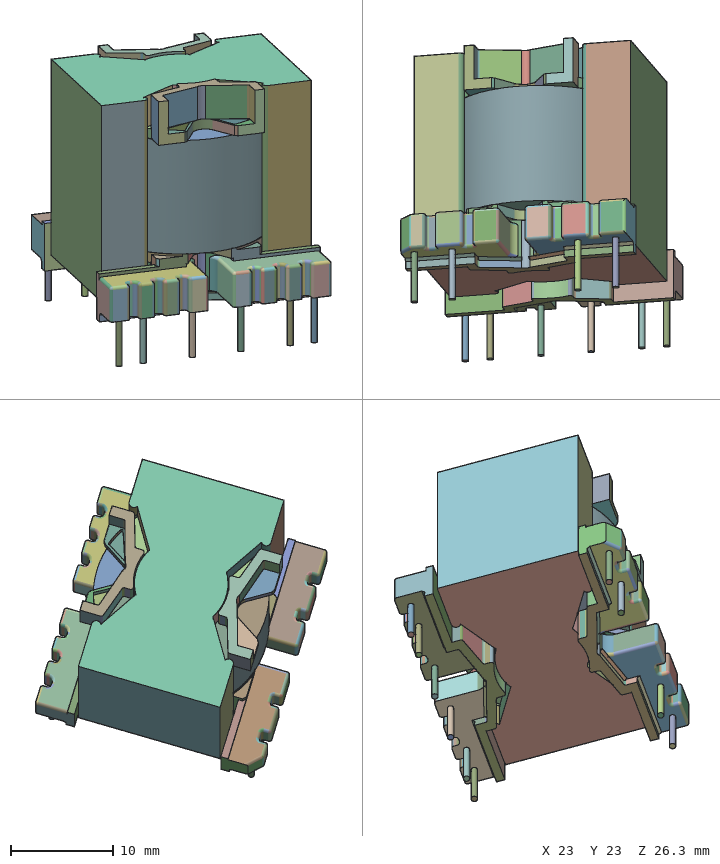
import cadquery as cq
import math

OVERALL_TOP = 26.3
PIN_TIP = 0.0
FOOT_BOTTOM = 4.05
BLOCK_BOTTOM = 5.05
BLOCK_TOP = 8.65
CORE_BOTTOM = 5.7
CORE_TOP = 26.06
RAIL_TOP = 9.0
PAD_TOP = 9.78
FLANGE_THICKNESS = 1.05
WINDOW_BOTTOM = 8.95
WINDOW_TOP = CORE_BOTTOM + CORE_TOP - WINDOW_BOTTOM
WINDING_BOTTOM = WINDOW_BOTTOM + FLANGE_THICKNESS
WINDING_TOP = WINDOW_TOP - FLANGE_THICKNESS

CORE_HALF_X = 7.23
CORE_HALF_Y = 10.91
POST_RADIUS = 4.58
WAIST_Y = 2.35
WAIST_X = math.sqrt(POST_RADIUS**2 - WAIST_Y**2)
NOSE_START_Y = 6.42
NOSE_TIP = (6.9, 6.0)
NOSE_END = (6.35, 6.2)
WINDOW_RADIUS = math.hypot(*NOSE_END)

WINDING_RADIUS = 17.2 / 2
FLANGE_RADIUS = 8.68
BORE_RADIUS = 4.68
CLIP_X = 8.7
CLIP_HALF_Y = 5.5
POCKET_HALF_Y = 4.5
CLIP_SHOULDER_X = 6.42
CLIP_NECK = (5.3, 2.08)
POCKET_CORNER_X = 7.07
NOTCH_APEX_X = 5.68
NOTCH_TANGENT = (6.2, 1.03)
POCKET_TANGENT = (5.85, 0.42)
POCKET_ROUND = 0.2
CLIP_ROUND = 0.25
NOTCH_MOUTH = (8.52, 2.47)
NOTCH_LIP_Y = 2.75
OPENING_INNER = (6.15, 1.35)
OPENING_TOP = (7.23, 4.35)
OPENING_MOUTH_Y = 2.87

BASE_HALF = 23.0 / 2
BASE_GAP_HALF = 1.3
RAIL_INNER_X = 7.47
RAIL_OUTER_X = 8.2
FOOT_OUTER_X = 8.35
FOOT_BEVEL = 0.3
PAD_INNER_Y = 2.45
PAD_OUTER_Y = 5.2
PAD_CUT_X = 7.9
CORNER_CUT = 1.24
TRIM_LENGTH = 0.8
EDGE_ROUND = 0.3

SLOT_WIDTH = 0.97
SLOT_DEPTH = 0.97
LEFT_SLOT_ROUND = 0.18
RIGHT_SLOT_ROUND = 0.37
PIN_X = 10.18
PIN_DIAMETER = 0.63
PIN_COVER = 3.15
LEFT_SLOTS = (4.47, 8.25)
RIGHT_SLOTS = (3.75, 6.36, 8.97)
LEFT_PINS = (6.35, 10.15)
RIGHT_PINS = (2.52, 7.65, 10.15)


def prism(outline, bottom, top):
    """Closed polygon in plan, raised from one level to another."""
    return cq.Workplane("XY").workplane(offset=bottom).polyline(outline).close().extrude(top - bottom)


def disc(radius, bottom, top):
    return cq.Workplane("XY").workplane(offset=bottom).circle(radius).extrude(top - bottom)


def half_turn(shape):
    return shape.rotate((0, 0, 0), (0, 0, 1), 180)


def mirrored_in_y(shape):
    return shape.mirror("XZ")


def core_side(sketch, sign):
    """Outline of one waisted side, from one outer corner to the opposite one."""
    def at(x, y):
        return (sign * x, sign * y)

    return (
        sketch.lineTo(*at(CORE_HALF_X, NOSE_START_Y))
        .threePointArc(at(*NOSE_TIP), at(*NOSE_END))
        .lineTo(*at(WAIST_X, WAIST_Y))
        .threePointArc(at(POST_RADIUS, 0), at(WAIST_X, -WAIST_Y))
        .lineTo(*at(NOSE_END[0], -NOSE_END[1]))
        .threePointArc(at(NOSE_TIP[0], -NOSE_TIP[1]), at(CORE_HALF_X, -NOSE_START_Y))
        .lineTo(*at(CORE_HALF_X, -CORE_HALF_Y))
    )


def make_core():
    outline = cq.Workplane("XY").workplane(offset=CORE_BOTTOM).moveTo(CORE_HALF_X, CORE_HALF_Y)
    outline = core_side(outline, 1)
    outline = outline.lineTo(-CORE_HALF_X, -CORE_HALF_Y)
    outline = core_side(outline, -1)
    body = outline.close().extrude(CORE_TOP - CORE_BOTTOM)
    window = disc(WINDOW_RADIUS, WINDOW_BOTTOM, WINDOW_TOP)
    post = disc(POST_RADIUS, WINDOW_BOTTOM, WINDOW_TOP)
    return body.cut(window.cut(post))


def notch(bottom, top):
    """Rounded V opening between the two halves of a flange."""
    x, y = NOTCH_TANGENT
    return (
        cq.Workplane("XY").workplane(offset=bottom)
        .moveTo(x, -y)
        .threePointArc((NOTCH_APEX_X, 0), (x, y))
        .lineTo(*NOTCH_MOUTH)
        .lineTo(CLIP_X, NOTCH_LIP_Y)
        .lineTo(CLIP_X, -NOTCH_LIP_Y)
        .lineTo(NOTCH_MOUTH[0], -NOTCH_MOUTH[1])
        .close().extrude(top - bottom)
    )


def pocket(bottom, top):
    """Space enclosed by the bent clip wall and its two arms."""
    x, y = POCKET_TANGENT
    space = (
        cq.Workplane("XY").workplane(offset=bottom)
        .moveTo(x, -y)
        .threePointArc((NOTCH_APEX_X, 0), (x, y))
        .lineTo(POCKET_CORNER_X, POCKET_HALF_Y)
        .lineTo(CLIP_X, POCKET_HALF_Y)
        .lineTo(CLIP_X, -POCKET_HALF_Y)
        .lineTo(POCKET_CORNER_X, -POCKET_HALF_Y)
        .close().extrude(top - bottom)
    )
    inner_corners = cq.selectors.BoxSelector(
        (POCKET_CORNER_X - 0.25, -OVERALL_TOP, 0), (POCKET_CORNER_X + 0.25, OVERALL_TOP, OVERALL_TOP)
    )
    return space.edges("|Z").edges(inner_corners).fillet(POCKET_ROUND)


def clip_block(outer_x, bottom, top):
    """Solid plan of a clip, reaching from the bore to outer_x, with rounded bends."""
    neck_x, neck_y = CLIP_NECK
    outline = [
        (0, neck_y), (neck_x, neck_y), (CLIP_SHOULDER_X, CLIP_HALF_Y), (outer_x, CLIP_HALF_Y),
        (outer_x, -CLIP_HALF_Y), (CLIP_SHOULDER_X, -CLIP_HALF_Y), (neck_x, -neck_y), (0, -neck_y),
    ]
    block = prism(outline, bottom, top).cut(disc(BORE_RADIUS, bottom, top))
    return block.edges("|Z").edges("not >X").fillet(CLIP_ROUND)


def make_clip():
    clip = clip_block(CLIP_X, WINDING_TOP, OVERALL_TOP)
    return clip.cut(pocket(WINDOW_TOP, OVERALL_TOP))


def floor_openings():
    """Triangular openings through the clip floor, bounded by the winding's outer radius."""
    outline = [
        OPENING_INNER, OPENING_TOP, (CLIP_X, OPENING_TOP[1]), (CLIP_X, OPENING_MOUTH_Y),
    ]
    wedge = prism(outline, WINDING_TOP, WINDOW_TOP)
    wedge = wedge.intersect(disc(WINDING_RADIUS, WINDING_TOP, WINDOW_TOP))
    return wedge.union(mirrored_in_y(wedge))


def make_block(slots, slot_round, corner_cut, round_outer_end):
    """Terminal block on the +Y half, with rounded edges and wire slots in its outer face.

    A block with a plain outer end is rounded over a longer length and then trimmed.
    """
    spare = 0 if round_outer_end else TRIM_LENGTH
    end_y = BASE_HALF + spare
    gap_round_x = NOTCH_APEX_X + BASE_GAP_HALF
    gap_round_middle = BASE_GAP_HALF * math.sqrt(0.5)
    block = (
        cq.Workplane("XY").workplane(offset=BLOCK_BOTTOM)
        .moveTo(CLIP_NECK[0], 0)
        .lineTo(NOTCH_APEX_X, 0)
        .threePointArc(
            (gap_round_x - gap_round_middle, gap_round_middle), (gap_round_x, BASE_GAP_HALF)
        )
        .lineTo(BASE_HALF, BASE_GAP_HALF)
        .lineTo(BASE_HALF, end_y)
        .lineTo(RAIL_INNER_X, end_y)
        .lineTo(RAIL_INNER_X, CLIP_HALF_Y)
        .lineTo(POCKET_CORNER_X, CLIP_HALF_Y)
        .lineTo(POCKET_CORNER_X, POCKET_HALF_Y)
        .close().extrude(BLOCK_TOP - BLOCK_BOTTOM)
    )
    if corner_cut:
        block = block.edges("|Z").edges(">X").edges(">Y").chamfer(CORNER_CUT + spare)
    for y in slots:
        slot = (
            cq.Workplane("XY").box(2 * SLOT_DEPTH, SLOT_WIDTH, 2 * BLOCK_TOP)
            .edges("|Z and <X").fillet(slot_round)
            .translate((BASE_HALF, y, BLOCK_TOP))
        )
        block = block.cut(slot)
    block = block.edges("|Z").edges(">X").fillet(EDGE_ROUND)

    rim = block.edges("|Y").edges(">X")
    if round_outer_end:
        return rim.edges(">Z").fillet(EDGE_ROUND)
    block = rim.fillet(EDGE_ROUND)
    trim = prism([(0, 0), (BASE_HALF, 0), (BASE_HALF, BASE_HALF), (0, BASE_HALF)], 0, OVERALL_TOP)
    if not corner_cut:
        trim = trim.edges("|Z").edges(">X and >Y").fillet(EDGE_ROUND)
    return block.intersect(trim)


def make_rail():
    """Rail on the +Y half, with its foot below and the flange pad above."""
    profile = [
        (RAIL_INNER_X, FOOT_BOTTOM), (FOOT_OUTER_X, FOOT_BOTTOM), (FOOT_OUTER_X, BLOCK_BOTTOM),
        (RAIL_OUTER_X, BLOCK_BOTTOM), (RAIL_OUTER_X, RAIL_TOP), (RAIL_INNER_X, RAIL_TOP),
    ]
    length = BASE_HALF - POCKET_HALF_Y
    rail = (
        cq.Workplane("XZ", origin=(0, BASE_HALF, 0)).polyline(profile).close().extrude(length)
    )
    pad_outline = [
        (CLIP_SHOULDER_X, PAD_INNER_Y), (RAIL_OUTER_X, PAD_INNER_Y), (RAIL_OUTER_X, PAD_OUTER_Y),
        (PAD_CUT_X, CLIP_HALF_Y), (CLIP_SHOULDER_X, CLIP_HALF_Y),
    ]
    pad = prism(pad_outline, BLOCK_TOP, PAD_TOP)
    return rail.union(pad)


def underside_bevel(start, end):
    """Triangular strip under the block, leaning on the wall that runs from start to end in plan."""
    along = cq.Vector(end[0] - start[0], end[1] - start[1], 0)
    outward = cq.Vector(along.y, -along.x, 0)
    plane = cq.Plane(origin=(*start, BLOCK_BOTTOM), xDir=outward, normal=along)
    corner = [(0, 0), (FOOT_BEVEL, 0), (0, FOOT_BEVEL)]
    return cq.Workplane(plane).polyline(corner).close().extrude(along.Length)


def make_pins(places):
    points = [(PIN_X, side * y) for y in places for side in (-1, 1)]
    pins = cq.Workplane("XY").workplane(offset=PIN_TIP).pushPoints(points)
    return pins.circle(PIN_DIAMETER / 2).extrude(BLOCK_TOP - PIN_TIP - PIN_COVER)


def make_base(slots, slot_round, pin_places, corner_cut_side, round_outer_end):
    base = clip_block(RAIL_OUTER_X, FOOT_BOTTOM, WINDOW_BOTTOM)
    base = base.cut(pocket(FOOT_BOTTOM, WINDOW_BOTTOM))
    for side in (1, -1):
        half = make_block(slots, slot_round, side == corner_cut_side, round_outer_end)
        half = half.union(make_rail())
        half = half.union(underside_bevel((FOOT_OUTER_X, POCKET_HALF_Y), (FOOT_OUTER_X, BASE_HALF)))
        half = half.union(underside_bevel(POCKET_TANGENT, (POCKET_CORNER_X, POCKET_HALF_Y)))
        if side < 0:
            half = mirrored_in_y(half)
        base = base.union(half)
    return base.union(make_pins(pin_places))


def make_flange(bottom):
    top = bottom + FLANGE_THICKNESS
    return disc(FLANGE_RADIUS, bottom, top).cut(disc(BORE_RADIUS, bottom, top))


def make_coil_former():
    winding = disc(WINDING_RADIUS, WINDING_BOTTOM, WINDING_TOP)
    body = winding.cut(disc(BORE_RADIUS, WINDING_BOTTOM, WINDING_TOP))

    rail_span = cq.Workplane("XY").box(2 * RAIL_OUTER_X, 2 * BASE_HALF, 2 * OVERALL_TOP)
    upper = make_flange(WINDING_TOP).union(make_clip()).union(half_turn(make_clip()))
    lower = make_flange(WINDOW_BOTTOM).intersect(rail_span)
    for flange, bottom in ((upper, WINDING_TOP), (lower, WINDOW_BOTTOM)):
        opening = notch(bottom, bottom + FLANGE_THICKNESS)
        body = body.union(flange.cut(opening).cut(half_turn(opening)))
    body = body.cut(floor_openings())

    right_base = make_base(RIGHT_SLOTS, RIGHT_SLOT_ROUND, RIGHT_PINS, 0, True)
    left_base = half_turn(make_base(LEFT_SLOTS, LEFT_SLOT_ROUND, LEFT_PINS, -1, False))
    return body.union(right_base).union(left_base)


core = make_core()
coil_former = make_coil_former()
result = cq.Compound.makeCompound([core.val(), *coil_former.vals()])